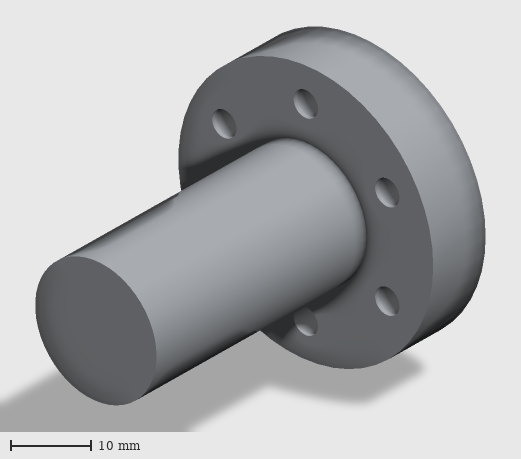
import cadquery as cq

total_length = 50.0
flange_diameter = 42.0
flange_thickness = 10.0
shaft_diameter = 20.0
bolt_hole_diameter = 4.0
bolt_hole_count = 6
bolt_circle_diameter = 31.0

shaft_length = total_length - flange_thickness
first_hole_angle = 90.0


def make_flange():
    """Disc from the shaft shoulder (y = 0) towards +Y, with a ring of through holes."""
    disc = cq.Workplane("XZ").circle(flange_diameter / 2).extrude(-flange_thickness)
    holes = (
        cq.Workplane("XZ")
        .polarArray(bolt_circle_diameter / 2, first_hole_angle, 360, bolt_hole_count)
        .circle(bolt_hole_diameter / 2)
        .extrude(-flange_thickness)
    )
    return disc.cut(holes)


def make_shaft():
    """Plain solid shaft from the flange face towards -Y."""
    return cq.Workplane("XZ").circle(shaft_diameter / 2).extrude(shaft_length)


result = make_flange().union(make_shaft())